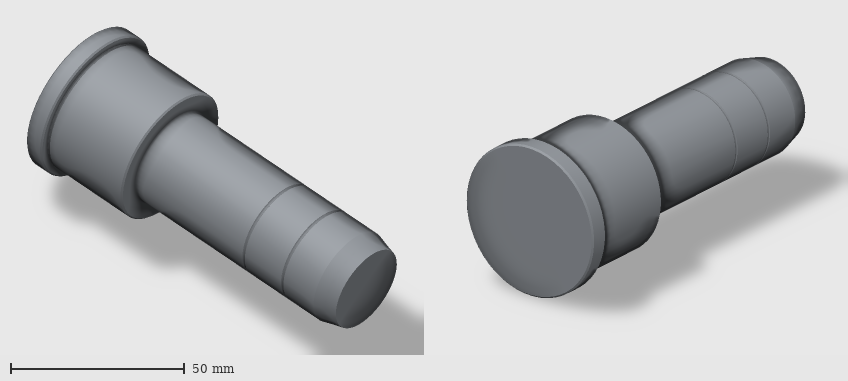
import cadquery as cq

total_length = 111.0
flange_diameter = 47.0
flange_length = 6.0
body_diameter = 42.0
body_end = 35.0
chamfer_size = 0.5
shaft_diameter = 30.0
shaft_root_radius = 0.5
tip_length = 7.0
tip_diameter = 26.2

groove_width = 1.0
groove_depth = 0.39
shaft_groove_starts = (76.4, 91.4)

flange_radius = flange_diameter / 2
body_radius = body_diameter / 2
shaft_radius = shaft_diameter / 2
tip_radius = tip_diameter / 2
tip_start = total_length - tip_length


def cylinder(start, end, radius):
    """Solid cylinder along X."""
    return cq.Workplane("YZ", origin=(start, 0, 0)).circle(radius).extrude(end - start)


def revolve_about_x(profile):
    """Full turn of a closed XZ profile about the X axis."""
    return profile.close().revolve(360, (0, 0, 0), (1, 0, 0))


def ring_groove(start, surface_radius):
    """Arc-section ring to cut into a cylinder of the given radius."""
    profile = (
        cq.Workplane("XZ")
        .moveTo(start, surface_radius)
        .threePointArc(
            (start + groove_width / 2, surface_radius - groove_depth),
            (start + groove_width, surface_radius),
        )
    )
    return revolve_about_x(profile)


def make_flange():
    return cylinder(0, flange_length, flange_radius).edges().chamfer(chamfer_size)


def make_body():
    """Body with an undercut behind the flange and a chamfered far rim."""
    body = cylinder(flange_length, body_end, body_radius)
    body = body.faces(">X").edges().chamfer(chamfer_size)
    return body.cut(ring_groove(flange_length, body_radius))


def make_shaft():
    """Shaft with a root fillet at the body, a tapered tip and two ring grooves."""
    fillet_middle = shaft_root_radius * (1 - 0.5 ** 0.5)
    profile = (
        cq.Workplane("XZ")
        .moveTo(body_end, 0)
        .lineTo(body_end, shaft_radius + shaft_root_radius)
        .threePointArc(
            (body_end + fillet_middle, shaft_radius + fillet_middle),
            (body_end + shaft_root_radius, shaft_radius),
        )
        .lineTo(tip_start, shaft_radius)
        .lineTo(total_length, tip_radius)
        .lineTo(total_length, 0)
    )
    shaft = revolve_about_x(profile)
    for start in shaft_groove_starts:
        shaft = shaft.cut(ring_groove(start, shaft_radius))
    return shaft


result = make_flange().union(make_body()).union(make_shaft())